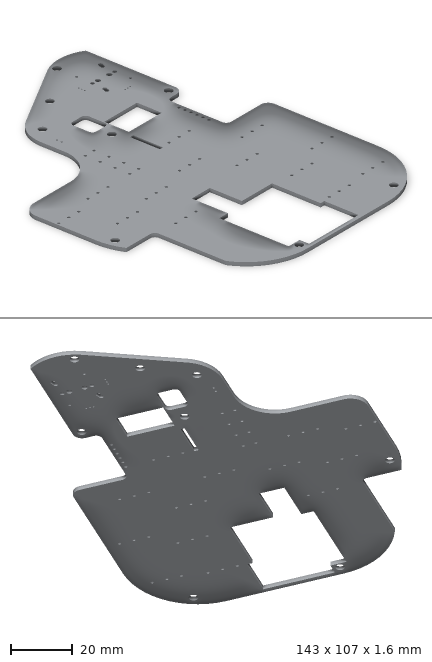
import cadquery as cq
import math

length = 143
depth = 107.0
thickness = 1.6
right_x = length / 2
left_x = -right_x
top_y = depth / 2
bottom_y = -top_y

left_lobe_top_y = 41.5
left_lobe_bottom_y = -14.7
left_lobe_right_x = -27.2
notch_floor_y = 33.3
upper_block_left_x = -1.7
lower_block_left_x = -16.2
lower_block_right_x = 26.2
right_lobe_bottom_y = -37.0

lobe_radius = 26.0
nose_radius = 17.7
nose_center_y = 31.5
nose_foot_y = 23.6
taper_angle = 61.8
sweep_radius = 14.3
foot_radius = 6.1
convex_corner_radius = 3.1
concave_corner_radius = 2.0
right_lobe_lower_center_y = -13.5
lower_block_arc_center_x = 15.2

mounting_diameter = 3.1
mounting_holes = [
    (65.9, 36.9),
    (67.9, -13.5),
    (20.0, -49.5),
    (-26.2, 4.1),
    (-30.6, 38.3),
    (-45.6, -7.7),
    (-55.7, 8.1),
    (-67.9, 26.3),
]

header_hole_count = 6
header_span = 12.7
header_center = (-14.5, 31.7)
header_pitch = header_span / (header_hole_count - 1)
pin_diameter = 1.1

pin_group_count = 3
pin_group_pitch = 2 * header_pitch
pin_group_centers = [
    (7.6, 34.9),
    (29.9, 43.6),
    (53.3, 41.3),
    (18.5, 19.3),
    (36.3, 25.7),
    (54.9, 22.5),
    (-8.3, 16.9),
    (6.3, 4.7),
    (10.0, -16.6),
    (27.9, -23.0),
    (-4.6, -28.7),
    (13.5, -35.3),
    (-1.3, -47.5),
]

pin_block_center = (-14.2, -10.1)
pin_block_columns = 4
pin_block_rows = 2
pin_block_column_pitch = 6.3
pin_block_row_pitch = 4.5

pair_center = (-36.3, -10.3)
pair_pitch = 2.0
pair_diameter = 0.75

tiny_diameter = 0.6
tiny_count = 3
tiny_pitch = 1.3
tiny_row_center = (-52.9, 20.9)
tiny_column_center = (-41.9, 31.0)

socket_center = (-52.5, 31.5)
socket_peg_offset = (0.1, 2.7)
socket_peg_diameter = 2.0
socket_contact_offset = (0.3, 5.3)
socket_contact_diameter = 1.6
socket_pin_offset = (7.0, 5.3)
socket_pin_diameter = 1.0
socket_slot_offset = (-5.7, 5.7)
socket_slot_length = 3.0
socket_slot_width = 1.6
socket_slot_angle = -20

tall_window = (-33.3, 8.9, -22.9, 25.5)
rounded_window = (-41.2, 0.6, -31.2, 8.5)
rounded_window_radius = 1.7
narrow_window = (-20.3, 6.5, -7.7, 8.0)

opening_corners = [
    (21.3, -3.0),
    (34.9, -3.0),
    (34.9, 12.3),
    (55.5, 12.3),
    (55.5, 14.2),
    (69.9, 14.2),
    (69.9, -10.9),
    (65.9, -10.9),
    (65.9, -16.5),
    (36.6, -16.5),
    (36.6, -12.1),
    (21.3, -12.1),
]


def chord_half_width(radius, distance):
    """Half the chord of a circle at a distance from its centre."""
    return math.sqrt(radius**2 - distance**2)


def make_plate():
    nose_center_x = left_x + nose_radius
    nose_top_x = nose_center_x - chord_half_width(nose_radius, left_lobe_top_y - nose_center_y)
    nose_foot_x = nose_center_x - chord_half_width(nose_radius, nose_center_y - nose_foot_y)

    taper = math.radians(taper_angle)
    taper_end_x = nose_foot_x + (nose_foot_y - left_lobe_bottom_y) / math.tan(taper)
    blend = sweep_radius * math.tan(taper / 2)
    taper_tangent = (taper_end_x - blend * math.cos(taper), left_lobe_bottom_y + blend * math.sin(taper))

    lobe_center_x = right_x - lobe_radius
    lobe_drop = right_lobe_lower_center_y - right_lobe_bottom_y
    lobe_end_x = lobe_center_x + chord_half_width(lobe_radius, lobe_drop)
    block_reach = lower_block_right_x - lower_block_arc_center_x
    block_arc_y = bottom_y + lobe_radius - chord_half_width(lobe_radius, block_reach)

    outline = (
        cq.Workplane("XY")
        .moveTo(nose_top_x, left_lobe_top_y)
        .lineTo(left_lobe_right_x - convex_corner_radius, left_lobe_top_y)
        .radiusArc((left_lobe_right_x, left_lobe_top_y - convex_corner_radius), convex_corner_radius)
        .lineTo(left_lobe_right_x, notch_floor_y + concave_corner_radius)
        .radiusArc((left_lobe_right_x + concave_corner_radius, notch_floor_y), -concave_corner_radius)
        .lineTo(upper_block_left_x - concave_corner_radius, notch_floor_y)
        .radiusArc((upper_block_left_x, notch_floor_y + concave_corner_radius), -concave_corner_radius)
        .lineTo(upper_block_left_x, top_y - convex_corner_radius)
        .radiusArc((upper_block_left_x + convex_corner_radius, top_y), convex_corner_radius)
        .lineTo(lobe_center_x, top_y)
        .radiusArc((right_x, top_y - lobe_radius), lobe_radius)
        .lineTo(right_x, right_lobe_lower_center_y)
        .radiusArc((lobe_end_x, right_lobe_bottom_y), lobe_radius)
        .lineTo(lower_block_right_x + concave_corner_radius, right_lobe_bottom_y)
        .radiusArc((lower_block_right_x, right_lobe_bottom_y - concave_corner_radius), -concave_corner_radius)
        .lineTo(lower_block_right_x, block_arc_y)
        .radiusArc((lower_block_arc_center_x, bottom_y), lobe_radius)
        .lineTo(lower_block_left_x + foot_radius, bottom_y)
        .radiusArc((lower_block_left_x, bottom_y + foot_radius), foot_radius)
        .lineTo(lower_block_left_x, left_lobe_bottom_y - sweep_radius)
        .radiusArc((lower_block_left_x - sweep_radius, left_lobe_bottom_y), -sweep_radius)
        .lineTo(taper_end_x + blend, left_lobe_bottom_y)
        .radiusArc(taper_tangent, sweep_radius)
        .lineTo(nose_foot_x, nose_foot_y)
        .threePointArc((left_x, nose_center_y), (nose_top_x, left_lobe_top_y))
        .close()
    )
    return outline.extrude(thickness)


def round_holes(points, diameter):
    return cq.Workplane("XY").pushPoints(points).circle(diameter / 2).extrude(thickness)


def hole_grid(center, columns, rows, column_pitch, row_pitch):
    """Centres of a rectangular pattern of holes around a middle point."""
    points = []
    for column in range(columns):
        for row in range(rows):
            x = center[0] + (column - (columns - 1) / 2) * column_pitch
            y = center[1] + (row - (rows - 1) / 2) * row_pitch
            points.append((x, y))
    return points


def hole_row(center, count, pitch):
    return hole_grid(center, count, 1, pitch, 0)


def hole_column(center, count, pitch):
    return hole_grid(center, 1, count, 0, pitch)


def make_pin_holes():
    points = hole_row(header_center, header_hole_count, header_pitch)
    points += hole_grid(
        pin_block_center, pin_block_columns, pin_block_rows, pin_block_column_pitch, pin_block_row_pitch
    )
    for center in pin_group_centers:
        points += hole_column(center, pin_group_count, pin_group_pitch)
    return round_holes(points, pin_diameter)


def make_tiny_holes():
    points = hole_row(tiny_row_center, tiny_count, tiny_pitch)
    points += hole_column(tiny_column_center, tiny_count, tiny_pitch)
    return round_holes(points, tiny_diameter)


def socket_points(offset):
    """An offset from the socket centre and its half-turn copy."""
    return [(socket_center[0] + side * offset[0], socket_center[1] + side * offset[1]) for side in (1, -1)]


def make_socket_holes():
    slots = (
        cq.Workplane("XY")
        .pushPoints(socket_points(socket_slot_offset))
        .slot2D(socket_slot_length, socket_slot_width, socket_slot_angle)
        .extrude(thickness)
    )
    return (
        slots.add(round_holes(socket_points(socket_peg_offset), socket_peg_diameter))
        .add(round_holes(socket_points(socket_contact_offset), socket_contact_diameter))
        .add(round_holes(socket_points(socket_pin_offset), socket_pin_diameter))
        .combine()
    )


def make_window(bounds):
    left, bottom, right, top = bounds
    center = ((left + right) / 2, (bottom + top) / 2)
    return cq.Workplane("XY").center(*center).rect(right - left, top - bottom).extrude(thickness)


def make_opening():
    return cq.Workplane("XY").polyline(opening_corners).close().extrude(thickness)


cutters = [
    round_holes(mounting_holes, mounting_diameter),
    make_pin_holes(),
    make_tiny_holes(),
    round_holes(hole_row(pair_center, 2, pair_pitch), pair_diameter),
    make_socket_holes(),
    make_window(tall_window),
    make_window(rounded_window).edges("|Z").fillet(rounded_window_radius),
    make_window(narrow_window),
    make_opening(),
]

result = make_plate()
for cutter in cutters:
    result = result.cut(cutter)